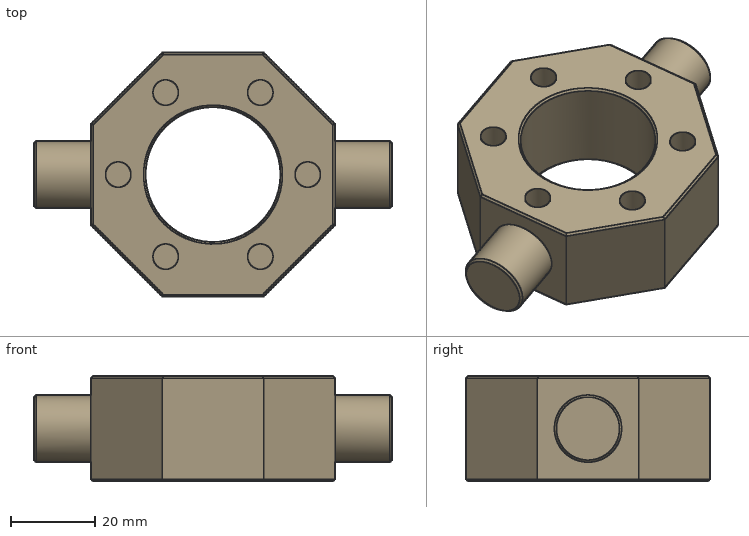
import cadquery as cq
import math

total_length = 85.0
across_flats = 58.0
body_height = 25.0
bore_diameter = 32.0
trunnion_diameter = 16.0
edge_chamfer = 0.5

hole_count = 6
hole_diameter = 6.0
hole_circle_diameter = 45.0
hole_depth = 15.0

octagon_sides = 8
across_corners = across_flats / math.cos(math.pi / octagon_sides)


def make_body():
    """Octagonal block with flats facing X and Y, chamfered top and bottom."""
    return (
        cq.Workplane("XY")
        .polygon(octagon_sides, across_corners)
        .extrude(body_height / 2, both=True)
        .rotate((0, 0, 0), (0, 0, 1), 180 / octagon_sides)
        .faces("<Z or >Z")
        .chamfer(edge_chamfer)
    )


def make_trunnions():
    """Full-length shaft along X whose ends form the two trunnions."""
    return (
        cq.Workplane("YZ")
        .circle(trunnion_diameter / 2)
        .extrude(total_length / 2, both=True)
        .faces("<X or >X")
        .chamfer(edge_chamfer)
    )


def make_bore():
    """Through bore cutter, flared at both ends to chamfer the rims."""
    bore_radius = bore_diameter / 2
    rim_radius = bore_radius + edge_chamfer
    half_height = body_height / 2
    straight_half = half_height - edge_chamfer
    return (
        cq.Workplane("XZ")
        .moveTo(0, -half_height)
        .lineTo(rim_radius, -half_height)
        .lineTo(bore_radius, -straight_half)
        .lineTo(bore_radius, straight_half)
        .lineTo(rim_radius, half_height)
        .lineTo(0, half_height)
        .close()
        .revolve(360, (0, 0, 0), (0, 1, 0))
    )


def make_holes():
    """Ring of blind hole cutters, starting on the X axis."""
    return (
        cq.Workplane("XY", origin=(0, 0, body_height / 2))
        .polarArray(hole_circle_diameter / 2, 0, 360, hole_count)
        .circle(hole_diameter / 2)
        .extrude(-hole_depth)
    )


result = make_body().union(make_trunnions()).cut(make_bore()).cut(make_holes())